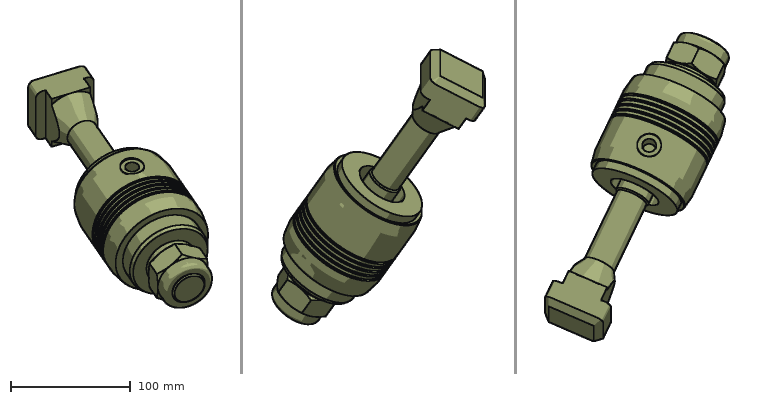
import cadquery as cq
import math


head_step_x = 21.5
head_block_end_x = 33.7
cone_end_x = 56.5
thread_start_x = 121.9
cover_start_x = 127.8
sleeve_start_x = 133.8
sleeve_end_x = 216.8
nose_end_x = 234.0
nut_start_x = 240.5
nut_hex_end_x = 259.2
nut_end_x = 270.5
bolt_end_x = 272.0

head_width = 53.5
head_neck_width = 35.4
head_corner_radius = 6.5
head_chamfer = 6.0
shank_radius = 13.5
thread_radius = 15.0
thread_chamfer = thread_radius - shank_radius

sleeve_radius = 45.02
sleeve_taper_length = 11.2
sleeve_taper_height = 2.0
rim_chamfer_height = 0.5
start_rim_chamfer_length = 0.8
end_rim_chamfer_length = 1.5
nose_radius = 36.0
nose_chamfer_length = 3.3
nose_chamfer_height = 1.5

cover_radius = 39.2
cover_length = 16.3
cover_end_x = cover_start_x + cover_length
mouth_chamfer_length = 1.5
mouth_chamfer_height = 3.3

groove_count = 5
first_groove_x = 175.5
groove_pitch = 5.0
groove_width = 2.0
groove_depth = 1.0

port_x = 157.0
port_diameter = 11.7
port_depth = 13.5
spotface_diameter = 20.0
spotface_z = 43.5

piston_radius = 22.0
piston_start_x = cover_end_x
piston_taper_length = 4.0
piston_taper_height = 1.0

nut_flats = 46.2
nut_corner_radius = nut_flats / math.sqrt(3)
nut_collar_radius = nut_flats / 2
nut_chamfer_angle = math.radians(30)
nut_round_length = 4.0
nut_round_height = 3.3


def turned(profile):
    """Close a half profile of (x, radius) points and revolve it about the X axis."""
    return profile.close().revolve(360, (0, 0, 0), (1, 0, 0))


def turned_polyline(points):
    return turned(cq.Workplane("XY").polyline(points))


def rod(start_x, end_x, radius):
    return cq.Workplane("YZ", origin=(start_x, 0, 0)).circle(radius).extrude(end_x - start_x)


def neck_prism(start_x, end_x):
    section = cq.Workplane("YZ", origin=(start_x, 0, 0)).rect(head_neck_width, head_width)
    return section.extrude(end_x - start_x)


def make_bolt():
    head = (
        cq.Workplane("YZ")
        .rect(head_width, head_width)
        .extrude(head_step_x)
        .edges("|X")
        .fillet(head_corner_radius)
        .faces("<X")
        .chamfer(head_chamfer)
    )
    neck_block = neck_prism(head_step_x, head_block_end_x)
    cone = turned_polyline(
        [
            (head_block_end_x, 0),
            (head_block_end_x, head_width / 2),
            (cone_end_x, shank_radius),
            (cone_end_x, 0),
        ]
    )
    flattened_cone = cone.intersect(neck_prism(head_block_end_x, cone_end_x))
    shank = turned_polyline(
        [
            (cone_end_x, 0),
            (cone_end_x, shank_radius),
            (thread_start_x, shank_radius),
            (thread_start_x + thread_chamfer, thread_radius),
            (bolt_end_x - thread_chamfer, thread_radius),
            (bolt_end_x, thread_radius - thread_chamfer),
            (bolt_end_x, 0),
        ]
    )
    return head.union(neck_block).union(flattened_cone).union(shank)


def make_housing_blank():
    """Tapered sleeve with a nose at one end and a chamfered seat for the cover at the other."""
    taper_end_radius = sleeve_radius - sleeve_taper_height
    rim_radius = taper_end_radius - rim_chamfer_height
    start_taper_x = sleeve_start_x + start_rim_chamfer_length
    end_taper_x = sleeve_end_x - end_rim_chamfer_length
    return turned_polyline(
        [
            (cover_end_x, piston_radius),
            (cover_end_x, cover_radius),
            (sleeve_start_x + mouth_chamfer_length, cover_radius),
            (sleeve_start_x, cover_radius + mouth_chamfer_height),
            (sleeve_start_x, rim_radius),
            (start_taper_x, taper_end_radius),
            (start_taper_x + sleeve_taper_length, sleeve_radius),
            (end_taper_x - sleeve_taper_length, sleeve_radius),
            (end_taper_x, taper_end_radius),
            (sleeve_end_x, rim_radius),
            (sleeve_end_x, nose_radius),
            (nose_end_x - nose_chamfer_length, nose_radius),
            (nose_end_x, nose_radius - nose_chamfer_height),
            (nose_end_x, piston_radius),
        ]
    )


def make_groove(start_x):
    end_x = start_x + groove_width
    return turned_polyline(
        [
            (start_x, sleeve_radius),
            (start_x + groove_width / 2, sleeve_radius - groove_depth),
            (end_x, sleeve_radius),
        ]
    )


def make_port():
    face = cq.Workplane("XY", origin=(port_x, 0, spotface_z))
    spotface = face.circle(spotface_diameter / 2).extrude(sleeve_radius - spotface_z)
    return spotface.union(face.circle(port_diameter / 2).extrude(-port_depth))


def make_housing():
    housing = make_housing_blank()
    for index in range(groove_count):
        housing = housing.cut(make_groove(first_groove_x + index * groove_pitch))
    return housing.cut(make_port())


def make_cover():
    return rod(cover_start_x, cover_end_x, cover_radius).cut(
        rod(cover_start_x, cover_end_x, piston_radius)
    )


def make_piston():
    return turned_polyline(
        [
            (piston_start_x, thread_radius),
            (piston_start_x, piston_radius),
            (nut_start_x - piston_taper_length, piston_radius),
            (nut_start_x, piston_radius - piston_taper_height),
            (nut_start_x, thread_radius),
        ]
    )


def make_nut():
    """Hexagon with corners on the Z axis, chamfered corners and a round-ended collar."""
    corner_height = nut_corner_radius - nut_collar_radius
    corner_chamfer_length = corner_height * math.tan(nut_chamfer_angle)
    chamfer_envelope = turned_polyline(
        [
            (nut_start_x, 0),
            (nut_start_x, nut_collar_radius),
            (nut_start_x + corner_chamfer_length, nut_corner_radius),
            (nut_hex_end_x - corner_chamfer_length, nut_corner_radius),
            (nut_hex_end_x, nut_collar_radius),
            (nut_hex_end_x, 0),
        ]
    )
    hexagon = (
        cq.Workplane("YZ", origin=(nut_start_x, 0, 0))
        .transformed(rotate=(0, 0, 90))
        .polygon(6, 2 * nut_corner_radius)
        .extrude(nut_hex_end_x - nut_start_x)
        .intersect(chamfer_envelope)
    )
    collar = turned(
        cq.Workplane("XY")
        .moveTo(nut_hex_end_x, 0)
        .lineTo(nut_hex_end_x, nut_collar_radius)
        .lineTo(nut_end_x - nut_round_length, nut_collar_radius)
        .tangentArcPoint((nut_round_length, -nut_round_height))
        .lineTo(nut_end_x, 0)
    )
    return hexagon.union(collar).cut(rod(nut_start_x, nut_end_x, thread_radius))


bolt = make_bolt()
housing = make_housing()
cover = make_cover()
piston = make_piston()
nut = make_nut()

result = cq.Compound.makeCompound(
    [bolt.val(), housing.val(), cover.val(), piston.val(), nut.val()]
)